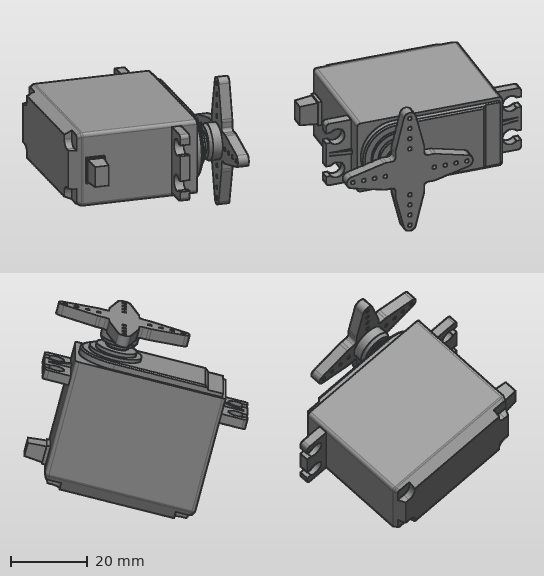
import cadquery as cq
import math


case_length = 40.6
case_width = 20.4
case_height = 34.95
edge_radius = 1.0
taper_height = 3.3
taper_inset = 1.6
pocket_size = 4.85
pocket_depth = 2.05
pocket_radius = 2.05

lid_height = 1.0
boss_rise = 1.0
boss_chamfer = 0.45
boss_end_x = -25.45
boss_end_chamfer_run = 0.5
collar_radius, collar_height = 7.0, 0.9
bearing_radius, bearing_height = 5.45, 1.0

flange_span = 54.65
flange_width = 18.4
flange_base_y = 28.0
flange_thickness = 2.55
slot_inset = 3.0
slot_offset = 4.95
slot_diameter = 4.45
slot_mouth = 3.05
rib_width = 1.0
rib_rise = 1.0

boot_y = 6.8
boot_base_length = 1.0
boot_base_size = (5.05, 6.9)
boot_root_size = (4.45, 6.3)
boot_tip_size = (3.7, 5.55)
boot_length = 5.9

shaft_radius = 3.05
shaft_height = 1.3
shaft_chamfer = 0.35

hub_radius = 4.95
hub_height = 3.6
hub_chamfer_height = 1.0
hub_chamfer_width = 0.6
blade_thickness = 3.05
horn_span = 35.3
arm_tip_radius = 1.7
arm_half_width = 4.0
arm_taper = math.radians(14)
arm_bend_radius = 3.45
arm_corner_radius = 1.0
arm_hole_radius = 0.55
arm_hole_spacing = 3.05
arm_hole_count = 4
arm_count = 4

case_right = case_width / 2
case_left = case_right - case_length
case_mid_x = (case_left + case_right) / 2
boss_radius = case_width / 2 - edge_radius
lid_length = -case_left - edge_radius
lid_top = case_height + lid_height
boss_top = lid_top + boss_rise
bearing_top = boss_top + collar_height + bearing_height
hub_base = bearing_top + shaft_height
blade_base = hub_base + hub_height
arm_reach = horn_span / 2
flange_top = flange_base_y + flange_thickness
flange_tip_x = case_mid_x + flange_span / 2

select_margin = 0.05


def level(y, x=0.0):
    """Workplane at height y with its local axes along X and Z."""
    return cq.Workplane("XZ", origin=(x, y, 0))


def up(sketch, height):
    """Extrude a sketch drawn on a level by a height toward +Y."""
    return sketch.extrude(-height)


def make_case():
    """Box on a tapered base, with all edges rounded except those of the two end faces."""
    walls = up(level(taper_height, case_mid_x).rect(case_length, case_width), case_height - taper_height)
    taper_angle = math.degrees(math.atan2(taper_inset, taper_height))
    base = (
        level(taper_height, case_mid_x)
        .rect(case_length, case_width)
        .extrude(taper_height, taper=taper_angle)
    )
    return walls.union(base).edges("not(<Y or >Y)").fillet(edge_radius)


def make_corner_pockets():
    """Screw pockets at the four corners of the base, each with its inner corner rounded."""
    corner_pitch = (case_length - pocket_size, case_width - pocket_size)
    squares = level(0, case_mid_x).rarray(*corner_pitch, 2, 2).rect(pocket_size, pocket_size)
    pockets = up(squares, pocket_depth)
    inner_corners = cq.selectors.BoxSelector(
        (case_left + pocket_size / 2, -select_margin, -case_width / 2 + pocket_size / 2),
        (case_right - pocket_size / 2, pocket_depth + select_margin, case_width / 2 - pocket_size / 2),
    )
    return pockets.edges("|Y").edges(inner_corners).fillet(pocket_radius)


def make_lid():
    """Thin step over the whole case and a round-ended boss with a sloping left end."""
    step = up(level(case_height, -lid_length / 2).rect(lid_length, 2 * boss_radius), lid_height)
    boss = up(level(case_height, -lid_length / 2).rect(lid_length, 2 * boss_radius), boss_top - case_height)
    boss = boss.union(up(level(case_height).circle(boss_radius), boss_top - case_height))
    boss = boss.faces(">Y").chamfer(boss_chamfer)
    slope_top_x = boss_end_x + boss_rise - boss_chamfer
    profile = (
        cq.Workplane("XY")
        .moveTo(boss_end_x, case_height)
        .lineTo(boss_end_x, lid_top)
        .lineTo(slope_top_x, boss_top - boss_chamfer)
        .lineTo(slope_top_x + boss_end_chamfer_run, boss_top)
        .lineTo(boss_radius, boss_top)
        .lineTo(boss_radius, case_height)
        .close()
        .extrude(boss_radius, both=True)
    )
    return step.union(boss.intersect(profile))


def make_bearing():
    """Two stacked discs around the output axis."""
    collar = up(level(boss_top).circle(collar_radius), collar_height)
    bearing = up(level(boss_top + collar_height).circle(bearing_radius), bearing_height)
    return collar.union(bearing)


def make_flanges():
    """Plate through the case with two keyhole slots at each end."""
    plate = up(level(flange_base_y, case_mid_x).rect(flange_span, flange_width), flange_thickness)
    plate = plate.edges("|Y").fillet(edge_radius)
    circle_pitch = flange_span - 2 * slot_inset
    circles = level(flange_base_y, case_mid_x).rarray(circle_pitch, 2 * slot_offset, 2, 2)
    circles = circles.circle(slot_diameter / 2)
    mouths = level(flange_base_y, case_mid_x).rarray(flange_span, 2 * slot_offset, 2, 2)
    mouths = mouths.rect(2 * slot_inset, slot_mouth)
    return plate.cut(up(circles, flange_thickness)).cut(up(mouths, flange_thickness))


def make_rib():
    """Sloping rib on the right flange, from the case wall down toward the flange tip."""
    return (
        cq.Workplane("XY")
        .moveTo(case_right, flange_top)
        .lineTo(flange_tip_x - edge_radius, flange_top)
        .lineTo(case_right, flange_top + rib_rise)
        .close()
        .extrude(rib_width / 2, both=True)
    )


def make_boot():
    """Cable boot on the right wall: a rectangular base and a tapered sleeve."""
    wall = cq.Workplane("YZ", origin=(case_right, boot_y, 0))
    base = wall.rect(*boot_base_size).extrude(boot_base_length)
    sleeve = (
        wall.workplane(offset=boot_base_length)
        .rect(*boot_root_size)
        .workplane(offset=boot_length - boot_base_length)
        .rect(*boot_tip_size)
        .loft(ruled=True)
    )
    return base.union(sleeve)


def make_housing():
    rib = make_rib()
    opposite_rib = rib.mirror("YZ", (case_mid_x, 0, 0))
    case = make_case().cut(make_corner_pockets())
    housing = case.union(make_flanges()).union(rib).union(opposite_rib)
    return housing.union(make_lid()).union(make_bearing()).union(make_boot())


def make_shaft():
    """Short shaft between the bearing and the hub, with a chamfered lower end."""
    shaft = up(level(bearing_top).circle(shaft_radius), shaft_height)
    return shaft.faces("<Y").chamfer(shaft_chamfer)


def make_arm():
    """Tapered, round-tipped arm along +Z with a row of holes."""
    tip_z = arm_reach - arm_tip_radius
    tangent_x = arm_tip_radius * math.cos(arm_taper)
    tangent_z = tip_z + arm_tip_radius * math.sin(arm_taper)
    bend_z = tangent_z - (arm_half_width - tangent_x) / math.tan(arm_taper)
    outline = (
        level(blade_base)
        .moveTo(-arm_half_width, 0)
        .lineTo(-arm_half_width, bend_z)
        .lineTo(-tangent_x, tangent_z)
        .threePointArc((0, arm_reach), (tangent_x, tangent_z))
        .lineTo(arm_half_width, bend_z)
        .lineTo(arm_half_width, 0)
        .close()
    )
    bends = cq.selectors.BoxSelector(
        (-arm_half_width - select_margin, blade_base, bend_z - select_margin),
        (arm_half_width + select_margin, blade_base + blade_thickness, bend_z + select_margin),
    )
    arm = up(outline, blade_thickness).edges("|Y").edges(bends).fillet(arm_bend_radius)
    hole_places = [(0, tip_z - i * arm_hole_spacing) for i in range(arm_hole_count)]
    holes = up(level(blade_base).pushPoints(hole_places).circle(arm_hole_radius), blade_thickness)
    return arm.cut(holes)


def make_horn():
    """Cross of equal arms with rounded inner corners, on a hub chamfered at its lower end."""
    arm = make_arm()
    blade = arm
    for i in range(1, arm_count):
        blade = blade.union(arm.rotate((0, 0, 0), (0, 1, 0), i * 360 / arm_count))
    reach = arm_half_width + select_margin
    inner_corners = cq.selectors.BoxSelector(
        (-reach, blade_base, -reach),
        (reach, blade_base + blade_thickness, reach),
    )
    blade = blade.edges("|Y").edges(inner_corners).fillet(arm_corner_radius)
    hub = (
        cq.Workplane("XY")
        .moveTo(0, hub_base)
        .lineTo(hub_radius - hub_chamfer_width, hub_base)
        .lineTo(hub_radius, hub_base + hub_chamfer_height)
        .lineTo(hub_radius, blade_base)
        .lineTo(0, blade_base)
        .close()
        .revolve(360, (0, 0, 0), (0, 1, 0))
    )
    return blade.union(hub)


housing = make_housing()
shaft = make_shaft()
horn = make_horn()

result = cq.Compound.makeCompound([housing.val(), shaft.val(), horn.val()])